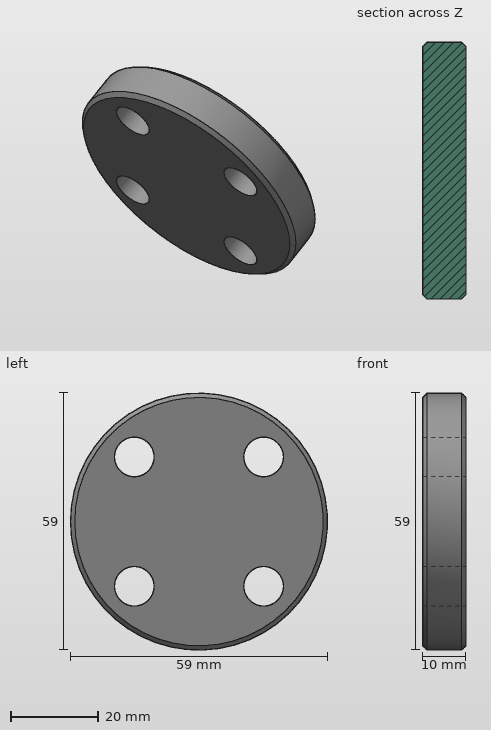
import cadquery as cq

plate_diameter = 59.0
plate_thickness = 10.0
edge_chamfer = 1.0

hole_diameter = 9.0
hole_spacing = 29.7


def make_plate():
    """Disc rising from the YZ plane along +X, chamfered on both rims."""
    disc = cq.Workplane("YZ").circle(plate_diameter / 2).extrude(plate_thickness)
    return disc.faces("<X or >X").edges().chamfer(edge_chamfer)


def drill_holes(plate):
    """Drill the square pattern through the full thickness."""
    return (
        plate.faces("<X")
        .workplane(centerOption="CenterOfBoundBox")
        .rarray(hole_spacing, hole_spacing, 2, 2)
        .hole(hole_diameter)
    )


result = drill_holes(make_plate())